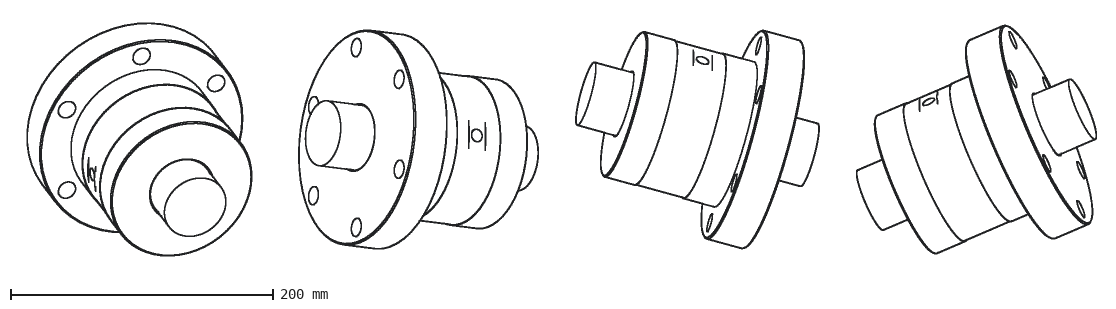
import cadquery as cq

shaft_length = 179.0
shaft_diameter = 50.0

housing_start = 30.0
housing_end = shaft_length - housing_start
flange_thickness = 30.0
flange_diameter = 165.0
barrel_diameter = 115.0
waist_start = 85.0
waist_end = 124.0
waist_depth = 0.5
edge_chamfer = 1.0

bolt_count = 6
bolt_circle_diameter = 140.0
bolt_hole_diameter = 14.0

port_x = 103.5
flat_length = 15.0
flat_depth = 1.0
port_mouth_diameter = 9.7
port_floor_diameter = 8.0
port_depth = 15.0


def cylinder_along_x(diameter, start, end):
    return cq.Workplane("YZ").workplane(offset=start).circle(diameter / 2).extrude(end - start)


def make_blank():
    """Flange and barrel with their chamfered outer edges, still solid inside."""
    flange = cylinder_along_x(flange_diameter, housing_start, housing_start + flange_thickness)
    flange = flange.edges().chamfer(edge_chamfer)
    barrel = cylinder_along_x(barrel_diameter, housing_start, housing_end)
    barrel = barrel.faces(">X").edges().chamfer(edge_chamfer)
    return flange.union(barrel)


def make_waist_cutter():
    """Ring that lowers the middle of the barrel."""
    outer = cylinder_along_x(flange_diameter, waist_start, waist_end)
    core = cylinder_along_x(barrel_diameter - 2 * waist_depth, waist_start, waist_end)
    return outer.cut(core)


def make_bolt_hole_cutters():
    """Evenly spaced holes, the first one straight above the axis."""
    return (
        cq.Workplane("YZ")
        .workplane(offset=housing_start)
        .polarArray(bolt_circle_diameter / 2, 90, 360, bolt_count)
        .circle(bolt_hole_diameter / 2)
        .extrude(flange_thickness)
    )


def make_port_cutter():
    """Flat on the -Y side with a blind, tapered port sunk into it."""
    flat_offset = barrel_diameter / 2 - waist_depth - flat_depth
    flat_plane = cq.Plane(origin=(port_x, -flat_offset, 0), xDir=(1, 0, 0), normal=(0, -1, 0))
    flat = cq.Workplane(flat_plane).rect(flat_length, barrel_diameter).extrude(flat_depth)
    port = cq.Solid.makeCone(
        port_mouth_diameter / 2,
        port_floor_diameter / 2,
        port_depth,
        pnt=flat_plane.origin,
        dir=-flat_plane.zDir,
    )
    return flat.union(cq.Workplane(port))


def make_bore_cutter():
    """Shaft bore, widened by a chamfer at each end face."""
    bore = cylinder_along_x(shaft_diameter, housing_start, housing_end)
    for end_x, inward in ((housing_start, 1), (housing_end, -1)):
        mouth = cq.Solid.makeCone(
            shaft_diameter / 2 + edge_chamfer,
            shaft_diameter / 2,
            edge_chamfer,
            pnt=cq.Vector(end_x, 0, 0),
            dir=cq.Vector(inward, 0, 0),
        )
        bore = bore.union(cq.Workplane(mouth))
    return bore


def make_housing():
    body = make_blank().cut(make_waist_cutter()).cut(make_bolt_hole_cutters())
    port_cutter = make_port_cutter()
    body = body.cut(port_cutter).cut(port_cutter.mirror("XZ"))
    return body.cut(make_bore_cutter())


def make_shaft():
    return cylinder_along_x(shaft_diameter, 0, shaft_length)


housing = make_housing()
shaft = make_shaft()

result = cq.Compound.makeCompound([*housing.solids().vals(), shaft.val()])